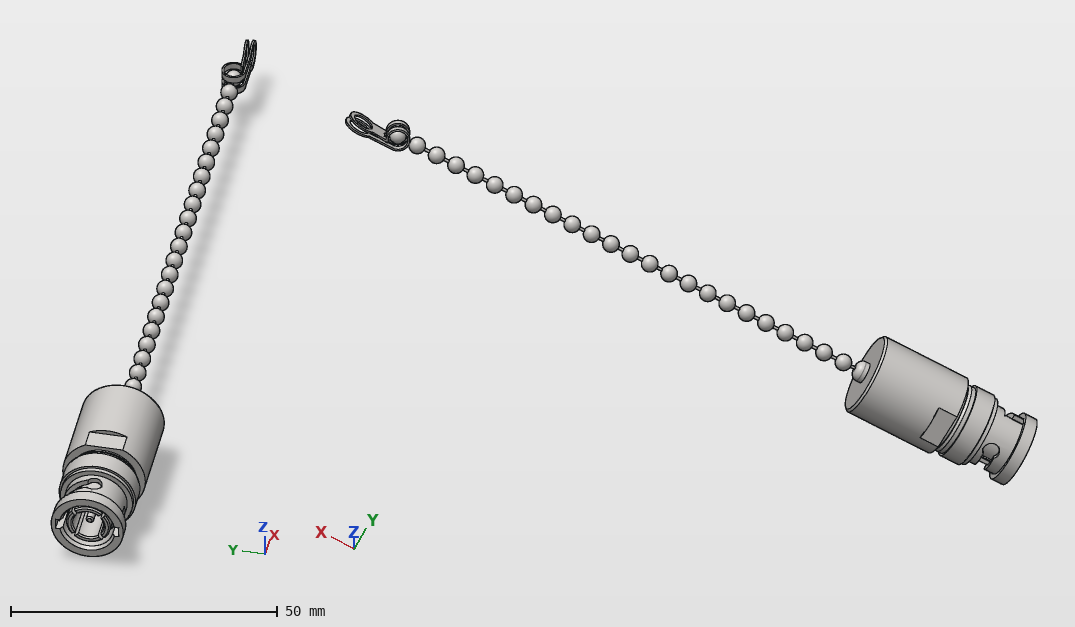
import cadquery as cq
import math


FLANGE_END = 2.5
FLANGE_RADIUS = 6.9
NECK_END = 8.5
NECK_RADIUS = 5.9
GRIP_START = 9.4
GRIP_END = 13.2
GRIP_RADIUS = 7.3
TAPER_START = 14.1
TAPER_END = 14.7
TAPER_END_RADIUS = 6.6
GROOVE_RADIUS = 6.3
BODY_START = 15.4
BODY_END = 33.2
BODY_RADIUS = 7.9
BACK_CHAMFER = 0.5

FLAT_END = 19.3
FLAT_HEIGHT = 7.0

BORE_RADIUS = 4.9
BORE_DEPTH = 8.5
MOUTH_RADIUS = 5.3
MOUTH_CONE_LENGTH = 0.7
SLEEVE_RADIUS = 4.2
SLEEVE_INNER_RADIUS = 3.0
SLEEVE_FRONT = 0.9
SLEEVE_CHAMFER = 0.3
SLIT_WIDTH = 0.7
SLIT_COUNT = 4
PIN_RADIUS = 0.7
PIN_FRONT = 2.3
PIN_CHAMFER = 0.3

SLOT_WIDTH = 2.2
ENTRY_END = 6.3
ENTRY_RADIUS = 6.0
SEAT_X = 6.0
SEAT_RADIUS = 1.6
RAMP_START = ENTRY_END - SLOT_WIDTH / 2
RAMP_CUT_THICKNESS = 1.5
QUARTERS_PER_TURN = 4

BUTTON_RADIUS = 2.0
BUTTON_LENGTH = 2.2
BUTTON_FILLET = 1.3
BEAD_RADIUS = 1.6
BEAD_PITCH = 4.2
BEAD_COUNT = 24
FIRST_BEAD_X = 37.8
WIRE_RADIUS = 0.3
LAST_BEAD_X = FIRST_BEAD_X + (BEAD_COUNT - 1) * BEAD_PITCH

TOTAL_LENGTH = 143.9
STRIP_WIDTH = 4.0
STRIP_THICKNESS = 0.36
LOOP_INNER_RADIUS = 1.9
LOOP_RADIUS = LOOP_INNER_RADIUS + STRIP_THICKNESS
EYE_RADIUS = 2.9
EYE_HOLE_RADIUS = 2.0
FRONT_EYE_X = TOTAL_LENGTH - EYE_RADIUS
CLASP_SLOT_WIDTH = 1.3
LOOP_SLOT_END = 136.1
LOOP_START_ANGLE = -42
LOOP_END_ANGLE = 270
BACK_TAB_TILT = 4
BACK_EYE_X = 140.9


def x_cylinder(start, end, radius):
    """Cylinder on the X axis between two X positions."""
    return cq.Workplane("YZ", origin=(start, 0, 0)).circle(radius).extrude(end - start)


def connector_blank():
    """Stepped outside of the connector, with a chamfer at the back and two flats."""
    blank = (
        cq.Workplane("XZ")
        .moveTo(0, 0)
        .lineTo(0, FLANGE_RADIUS)
        .lineTo(FLANGE_END, FLANGE_RADIUS)
        .lineTo(FLANGE_END, NECK_RADIUS)
        .lineTo(NECK_END, NECK_RADIUS)
        .lineTo(NECK_END, FLANGE_RADIUS)
        .lineTo(GRIP_START, FLANGE_RADIUS)
        .lineTo(GRIP_START, GRIP_RADIUS)
        .lineTo(GRIP_END, GRIP_RADIUS)
        .lineTo(GRIP_END, FLANGE_RADIUS)
        .lineTo(TAPER_START, FLANGE_RADIUS)
        .lineTo(TAPER_END, TAPER_END_RADIUS)
        .lineTo(TAPER_END, GROOVE_RADIUS)
        .lineTo(BODY_START, GROOVE_RADIUS)
        .lineTo(BODY_START, BODY_RADIUS)
        .lineTo(BODY_END - BACK_CHAMFER, BODY_RADIUS)
        .lineTo(BODY_END, BODY_RADIUS - BACK_CHAMFER)
        .lineTo(BODY_END, 0)
        .close()
        .revolve(360, (0, 0, 0), (1, 0, 0))
    )
    flat_length = FLAT_END - BODY_START
    for side in (1, -1):
        flat_cut = cq.Workplane("XY").box(flat_length, 2 * BODY_RADIUS, BODY_RADIUS).translate(
            (BODY_START + flat_length / 2, 0, side * (FLAT_HEIGHT + BODY_RADIUS / 2))
        )
        blank = blank.cut(flat_cut)
    return blank


def socket_cut():
    """Space inside the mouth, round the hollow sleeve and the pin in its middle."""
    bore = (
        cq.Workplane("XZ")
        .lineTo(0, MOUTH_RADIUS)
        .lineTo(MOUTH_CONE_LENGTH, BORE_RADIUS)
        .lineTo(BORE_DEPTH, BORE_RADIUS)
        .lineTo(BORE_DEPTH, 0)
        .close()
        .revolve(360, (0, 0, 0), (1, 0, 0))
    )
    sleeve = x_cylinder(SLEEVE_FRONT, BORE_DEPTH, SLEEVE_RADIUS)
    sleeve = sleeve.cut(x_cylinder(SLEEVE_FRONT, BORE_DEPTH, SLEEVE_INNER_RADIUS))
    sleeve = sleeve.faces("<X").chamfer(SLEEVE_CHAMFER)
    slit_length = BORE_DEPTH - SLEEVE_FRONT
    slit = cq.Workplane("XY", origin=(SLEEVE_FRONT, 0, 0)).box(
        slit_length, SLEEVE_RADIUS, SLIT_WIDTH, centered=(False, False, True)
    )
    for number in range(SLIT_COUNT):
        turn = (number + 0.5) * 360 / SLIT_COUNT
        sleeve = sleeve.cut(slit.rotate((0, 0, 0), (1, 0, 0), turn))
    pin = x_cylinder(PIN_FRONT, BORE_DEPTH, PIN_RADIUS).faces("<X").chamfer(PIN_CHAMFER)
    return bore.cut(sleeve).cut(pin)


def bayonet_cut():
    """Bayonet slot that enters at +Y and winds a quarter turn to its seat at +Z."""
    slot_bottom = (SLEEVE_RADIUS + BORE_RADIUS) / 2
    entry = cq.Workplane("XY", origin=(0, slot_bottom, 0)).box(
        ENTRY_END, ENTRY_RADIUS - slot_bottom, SLOT_WIDTH, centered=(False, False, True)
    )

    wall_middle = (BORE_RADIUS + NECK_RADIUS) / 2
    rise = SEAT_X - RAMP_START
    path = cq.Wire.makeHelix(rise * QUARTERS_PER_TURN, rise, wall_middle)
    ramp = (
        cq.Workplane("XZ", origin=(wall_middle, 0, 0))
        .rect(RAMP_CUT_THICKNESS, SLOT_WIDTH)
        .sweep(cq.Workplane(obj=path), isFrenet=True)
    )
    ramp = ramp.rotate((0, 0, 0), (1, 1, 1), 120).translate((RAMP_START, 0, 0))

    seat = (
        cq.Workplane("XY", origin=(SEAT_X, 0, slot_bottom))
        .circle(SEAT_RADIUS)
        .extrude(ENTRY_RADIUS - slot_bottom)
    )
    return entry.union(ramp).union(seat)


def make_connector():
    """Bayonet connector with its socket and two opposite slots."""
    connector = connector_blank().cut(socket_cut())
    slot = bayonet_cut()
    for turn in (0, 180):
        connector = connector.cut(slot.rotate((0, 0, 0), (1, 0, 0), turn))
    return connector


def make_chain():
    """Beads on one wire, starting from a rounded button on the back of the connector."""
    button = (
        x_cylinder(BODY_END, BODY_END + BUTTON_LENGTH, BUTTON_RADIUS)
        .faces(">X")
        .edges()
        .fillet(BUTTON_FILLET)
    )
    chain = button.union(x_cylinder(BODY_END, LAST_BEAD_X, WIRE_RADIUS))
    for number in range(BEAD_COUNT):
        bead_x = FIRST_BEAD_X + number * BEAD_PITCH
        chain = chain.union(cq.Workplane("XY").sphere(BEAD_RADIUS).translate((bead_x, 0, 0)))
    return chain


def make_tab(length):
    """Flat tab along +X with a holed eye at its end and its thickness on +Y."""
    tab = cq.Workplane("XY").box(length, STRIP_THICKNESS, STRIP_WIDTH, centered=(False, False, True))
    eye_plane = cq.Workplane("XZ", origin=(length, 0, 0))
    eye = eye_plane.circle(EYE_RADIUS).extrude(-STRIP_THICKNESS)
    hole = eye_plane.circle(EYE_HOLE_RADIUS).extrude(-STRIP_THICKNESS)
    return tab.union(eye).cut(hole)


def clasp_loop():
    """Curved strip round the last bead, open between the two tabs."""

    def loop_point(radius, angle):
        turn = math.radians(angle)
        return (LAST_BEAD_X + radius * math.cos(turn), radius * math.sin(turn))

    middle_angle = (LOOP_START_ANGLE + LOOP_END_ANGLE) / 2
    return (
        cq.Workplane("XY", origin=(0, 0, -STRIP_WIDTH / 2))
        .moveTo(*loop_point(LOOP_RADIUS, LOOP_START_ANGLE))
        .threePointArc(loop_point(LOOP_RADIUS, middle_angle), loop_point(LOOP_RADIUS, LOOP_END_ANGLE))
        .lineTo(*loop_point(LOOP_INNER_RADIUS, LOOP_END_ANGLE))
        .threePointArc(
            loop_point(LOOP_INNER_RADIUS, middle_angle),
            loop_point(LOOP_INNER_RADIUS, LOOP_START_ANGLE),
        )
        .close()
        .extrude(STRIP_WIDTH)
    )


def make_clasp():
    """Strip clasp: loop, straight front tab, tilted back tab and the slot that the wire passes."""
    front_tab = make_tab(FRONT_EYE_X - LAST_BEAD_X).translate((LAST_BEAD_X, -LOOP_RADIUS, 0))

    end_turn = math.radians(LOOP_START_ANGLE)
    back_tab_x = LAST_BEAD_X + LOOP_INNER_RADIUS * math.cos(end_turn)
    back_tab = (
        make_tab(BACK_EYE_X - back_tab_x)
        .rotate((0, 0, 0), (0, 0, 1), BACK_TAB_TILT)
        .translate((back_tab_x, LOOP_INNER_RADIUS * math.sin(end_turn) - STRIP_THICKNESS / 2, 0))
    )

    loop_slot_start = LAST_BEAD_X - LOOP_RADIUS
    loop_slot = cq.Workplane("XY", origin=(loop_slot_start, 0, 0)).box(
        LOOP_SLOT_END - loop_slot_start, 2 * LOOP_RADIUS, CLASP_SLOT_WIDTH, centered=(False, True, True)
    )
    front_slot = cq.Workplane("XY", origin=(LAST_BEAD_X, -LOOP_RADIUS, 0)).box(
        FRONT_EYE_X - LAST_BEAD_X, STRIP_THICKNESS, CLASP_SLOT_WIDTH, centered=(False, False, True)
    )
    return clasp_loop().union(front_tab).union(back_tab).cut(loop_slot).cut(front_slot)


connector = make_connector()
chain = make_chain()
clasp = make_clasp()
result = cq.Compound.makeCompound([body.solids().val() for body in (connector, chain, clasp)])